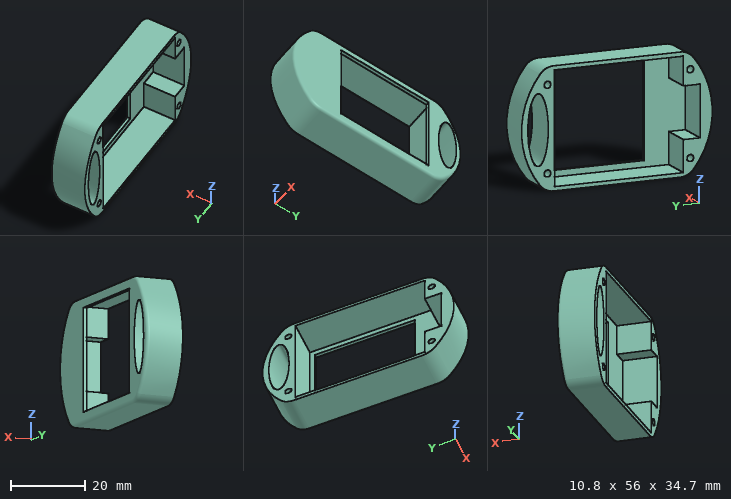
import cadquery as cq

depth = 10.75
length = 56.0
height = 34.65

end_radius = 24.5
corner_radius = 5.0
back_edge_radius = 1.0

floor_thickness = 1.0
pocket_depth = depth - floor_thickness
pocket_y_min = -19.5
pocket_y_max = 18.3
pocket_height = 32.2
notch_y_min = -24.35
notch_height = 14.85
notch_z = 0.45

window_y_min = -12.35
window_y_max = 16.85
window_height = 28.5

oval_y = 23.1
oval_width = 5.95
oval_height = 20.05

screw_diameter = 1.9
screw_depth = pocket_depth
screw_y_positions = (-21.5, 20.4)
screw_z = 12.25


def block(y_min, y_max, block_height, block_depth, z=0):
    """Box from X = 0 towards +X, centred on height z."""
    width = y_max - y_min
    return (
        cq.Workplane("YZ")
        .center((y_min + y_max) / 2, z)
        .rect(width, block_height)
        .extrude(block_depth)
    )


def end_block(side):
    """Half of the bar, on the given side of Y = 0, with its round end."""
    half_length = length / 2
    centre_y = side * (half_length - end_radius)
    disc = cq.Workplane("YZ").center(centre_y, 0).circle(end_radius).extrude(depth)
    half_bar = block(min(0, side * half_length), max(0, side * half_length), height, depth)
    return half_bar.intersect(disc)


def make_body():
    """Bar with round ends, blended corners and a rounded back edge."""
    bar = end_block(-1).union(end_block(1)).clean()
    body = bar.edges("|X").fillet(corner_radius)
    return body.faces(">X").edges().fillet(back_edge_radius)


def make_oval():
    outline = cq.Workplane("YZ").center(oval_y, 0).ellipse(oval_width / 2, oval_height / 2)
    return outline.extrude(depth)


def make_screw_holes():
    points = [(y, z) for y in screw_y_positions for z in (-screw_z, screw_z)]
    return cq.Workplane("YZ").pushPoints(points).circle(screw_diameter / 2).extrude(screw_depth)


result = (
    make_body()
    .cut(block(pocket_y_min, pocket_y_max, pocket_height, pocket_depth))
    .cut(block(notch_y_min, pocket_y_min, notch_height, pocket_depth, notch_z))
    .cut(block(window_y_min, window_y_max, window_height, depth))
    .cut(make_oval())
    .cut(make_screw_holes())
)